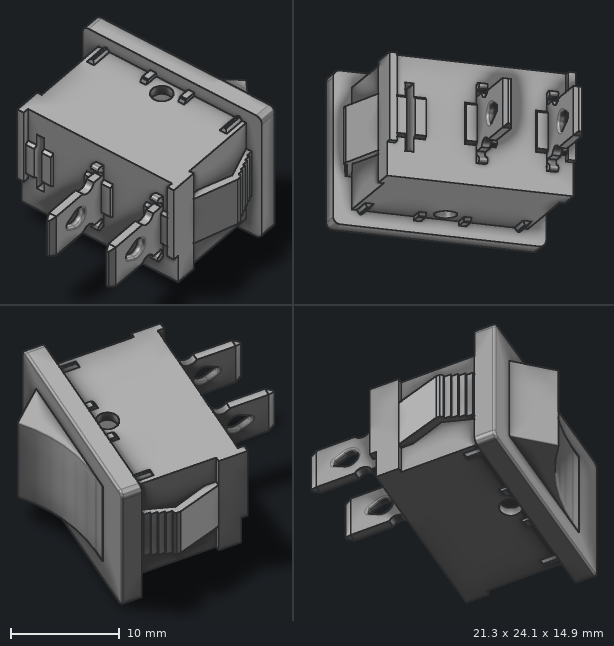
import cadquery as cq
import math


FLANGE_WIDTH = 20.93
FLANGE_HEIGHT = 14.87
FLANGE_DEPTH = 2.1
FLANGE_CORNER_RADIUS = 0.68
FLANGE_EDGE_RADIUS = 0.25

BODY_WIDTH = 17.28
BODY_HEIGHT = 11.78
BASE_WIDTH = 18.3
BASE_START_Y = -8.5
BASE_END_Y = -10.85

LIP_THICKNESS = 0.75
LIP_LENGTH = 0.65
LIP_BOTTOM_Z = -2.63

CLIP_HEIGHT = 5.45
CLIP_REACH_X = 10.67
CLIP_ROOT_X = 9.3
CLIP_STEP_COUNT = 5
CLIP_STEP_RISE = 0.25
CLIP_STEPS_LENGTH = 3.2
CLIP_STEP_LENGTH = CLIP_STEPS_LENGTH / CLIP_STEP_COUNT
CLIP_KNEE_TOP_X = 10.48
CLIP_KNEE_BEVEL_Y = -3.45
CLIP_KNEE_END_Y = -3.86
CLIP_INNER_KNEE = (9.92, -3.7)
CLIP_INNER_FOOT_Y = -7.31

RIB_HEIGHT = 0.4
RIB_BEVEL_DROP = 0.085
RIB_BEVEL_RUN = 0.15
RIB_END_RUN = 0.25
CORNER_RIB_X = 7.75
CORNER_RIB_WIDTH = 0.82
CORNER_RIB_LENGTH = 2.32
MIDDLE_RIB_X = 2.22
MIDDLE_RIB_WIDTH = 0.7
MIDDLE_RIB_LENGTH = 1.52

PIVOT_DIAMETER = 2.17
PIVOT_DEPTH = 1.01
PIVOT_Y = -1.57

TERMINAL_PITCH = 6.95
SLOT_XS = [-TERMINAL_PITCH, 0, TERMINAL_PITCH]
TERMINAL_XS = SLOT_XS[1:]
SLOT_HEIGHT = 6.61
SLOT_DEPTH = 1.93

PAD_WIDTH = 3.05
PAD_BASE_HEIGHT = 4.03
PAD_TOP_HEIGHT = 3.52
PAD_RISE = 0.36

TERMINAL_THICKNESS = 0.85
SHOULDER_HALF_HEIGHT = 2.63
SHOULDER_END_Y = -12.29
HOOK_FOOT_HALF_HEIGHT = 3.75
HOOK_HALF_HEIGHT = 3.86
HOOK_TIP_HALF_HEIGHT = 3.62
HOOK_FRONT_HALF_HEIGHT = 3.33
HOOK_RISE = 0.82
HOOK_FRONT_RISE = 0.7
HOOK_BACK_RISE = 0.5
NOTCH_MOUTH_HALF_HEIGHT = 3.1
NOTCH_MOUTH_RISE = 0.3
NOTCH_FLOOR_HALF_HEIGHT = 2.87
NOTCH_FLOOR_RISE = 0.15
NECK_Y = -13.15
NECK_HALF_HEIGHT = 1.98
BLADE_START_Y = -13.93
BLADE_HALF_HEIGHT = 2.4
TIP_START_Y = -17.9
TIP_END_Y = -18.6
TIP_HALF_HEIGHT = 2.15
TIP_THICKNESS = 0.27

EYE_Y = -14.6
EYE_RADIUS = 0.95
EYE_POINT_Y = -15.88
EYE_POINT_RADIUS = 0.36
EYE_EDGE_RADIUS = 0.25

ROCKER_HEIGHT = 9.85
ROCKER_LEFT_X = -6.6
ROCKER_RIGHT_X = 7.45
ROCKER_LOW_RISE = 0.07
ROCKER_CURVE_START_X = -5.2
ROCKER_CURVE_RADIUS = 14.8
ROCKER_PEAK_X = 4.27
ROCKER_PEAK_RADIUS = 0.17
ROCKER_EDGE_RADIUS = 0.05


def box_between(x_range, y_range, z_range):
    """Box given by its lower and upper limits along each axis."""
    lows, highs = zip(x_range, y_range, z_range)
    sizes = [high - low for low, high in zip(lows, highs)]
    return cq.Workplane("XY").box(*sizes, centered=False).translate(lows)


def centred_box(width, y_range, height):
    """Box centred on the X and Z middle planes."""
    return box_between((-width / 2, width / 2), y_range, (-height / 2, height / 2))


def both_ends(feature):
    """Feature together with its mirror image across X = 0."""
    return feature.union(feature.mirror("YZ"))


def above_and_below(feature):
    """Feature together with its mirror image across Z = 0."""
    return feature.union(feature.mirror("XY"))


def make_flange():
    flange = centred_box(FLANGE_WIDTH, (0, FLANGE_DEPTH), FLANGE_HEIGHT)
    flange = flange.edges("|Y").fillet(FLANGE_CORNER_RADIUS)
    return flange.faces(">Y").edges().fillet(FLANGE_EDGE_RADIUS)


def make_lips():
    outer_x = BASE_WIDTH / 2
    lip = box_between(
        (outer_x - LIP_THICKNESS, outer_x),
        (BASE_END_Y - LIP_LENGTH, BASE_END_Y),
        (LIP_BOTTOM_Z, BODY_HEIGHT / 2),
    )
    return both_ends(lip)


def make_clips():
    """Bent arms with a stepped outer face, joined to the flange and to the base."""
    body_x = BODY_WIDTH / 2
    outline = [(body_x, 0)]
    for step in range(CLIP_STEP_COUNT):
        step_x = CLIP_ROOT_X + step * CLIP_STEP_RISE
        outline.append((step_x, -step * CLIP_STEP_LENGTH))
        outline.append((step_x, -(step + 1) * CLIP_STEP_LENGTH))
    outline += [
        (CLIP_KNEE_TOP_X, -CLIP_STEPS_LENGTH),
        (CLIP_REACH_X, CLIP_KNEE_BEVEL_Y),
        (CLIP_REACH_X, CLIP_KNEE_END_Y),
        (BASE_WIDTH / 2, BASE_START_Y),
        (body_x, BASE_START_Y),
        (body_x, CLIP_INNER_FOOT_Y),
        CLIP_INNER_KNEE,
    ]
    clip = cq.Workplane("XY").polyline(outline).close().extrude(CLIP_HEIGHT / 2, both=True)
    return both_ends(clip)


def rib_envelope(length):
    """Side shape of a rib: flat on top, with a sloping free end whose upper edge is bevelled."""
    wall_z = BODY_HEIGHT / 2
    top_z = wall_z + RIB_HEIGHT
    outline = [
        (0, wall_z),
        (0, top_z),
        (RIB_END_RUN + RIB_BEVEL_RUN - length, top_z),
        (RIB_END_RUN - length, top_z - RIB_BEVEL_DROP),
        (-length, wall_z),
    ]
    return cq.Workplane("YZ").polyline(outline).close().extrude(BODY_WIDTH / 2, both=True)


def make_corner_rib():
    """Sharp crested rib whose sides slope steeply, then gently up to the crest."""
    wall_z = BODY_HEIGHT / 2
    top_z = wall_z + RIB_HEIGHT
    shoulder_z = top_z - RIB_BEVEL_DROP
    section = [
        (CORNER_RIB_X - CORNER_RIB_WIDTH / 2, wall_z),
        (CORNER_RIB_X - RIB_BEVEL_RUN, shoulder_z),
        (CORNER_RIB_X, top_z),
        (CORNER_RIB_X + RIB_BEVEL_RUN, shoulder_z),
        (CORNER_RIB_X + CORNER_RIB_WIDTH / 2, wall_z),
    ]
    bar = cq.Workplane("XZ").polyline(section).close().extrude(CORNER_RIB_LENGTH)
    return bar.intersect(rib_envelope(CORNER_RIB_LENGTH))


def make_middle_rib():
    """Square sided rib."""
    wall_z = BODY_HEIGHT / 2
    bar = box_between(
        (MIDDLE_RIB_X - MIDDLE_RIB_WIDTH / 2, MIDDLE_RIB_X + MIDDLE_RIB_WIDTH / 2),
        (-MIDDLE_RIB_LENGTH, 0),
        (wall_z, wall_z + RIB_HEIGHT),
    )
    return bar.intersect(rib_envelope(MIDDLE_RIB_LENGTH))


def make_ribs():
    return above_and_below(both_ends(make_corner_rib().union(make_middle_rib())))


def make_pivot_holes():
    hole = (
        cq.Workplane("XY", origin=(0, PIVOT_Y, BODY_HEIGHT / 2 - PIVOT_DEPTH))
        .circle(PIVOT_DIAMETER / 2)
        .extrude(PIVOT_DEPTH)
    )
    return above_and_below(hole)


def make_pad(x):
    """Low pad with sloping upper and lower faces."""
    top_y = BASE_END_Y - PAD_RISE
    section = [
        (BASE_END_Y, -PAD_BASE_HEIGHT / 2),
        (top_y, -PAD_TOP_HEIGHT / 2),
        (top_y, PAD_TOP_HEIGHT / 2),
        (BASE_END_Y, PAD_BASE_HEIGHT / 2),
    ]
    pad = cq.Workplane("YZ").polyline(section).close().extrude(PAD_WIDTH / 2, both=True)
    return pad.translate((x, 0, 0))


def make_slot(x):
    """Cutter for a terminal slot, through the pad and into the base."""
    slot = centred_box(
        TERMINAL_THICKNESS, (BASE_END_Y - PAD_RISE, BASE_END_Y + SLOT_DEPTH), SLOT_HEIGHT
    )
    return slot.translate((x, 0, 0))


def make_housing():
    housing = (
        make_flange()
        .union(centred_box(BODY_WIDTH, (BASE_END_Y, 0), BODY_HEIGHT))
        .union(centred_box(BASE_WIDTH, (BASE_END_Y, BASE_START_Y), BODY_HEIGHT))
        .union(make_lips())
        .union(make_clips())
        .union(make_ribs())
        .cut(make_pivot_holes())
    )
    for x in SLOT_XS:
        housing = housing.union(make_pad(x)).cut(make_slot(x))
    return housing


def make_blade():
    """Side shape of a terminal: tang, hooked shoulder, necked blade and tip."""
    tang_y = BASE_END_Y + SLOT_DEPTH
    half = (
        cq.Workplane("YZ")
        .moveTo(tang_y, 0)
        .lineTo(tang_y, SLOT_HEIGHT / 2)
        .lineTo(BASE_END_Y, SLOT_HEIGHT / 2)
        .lineTo(BASE_END_Y, HOOK_FOOT_HALF_HEIGHT)
        .lineTo(BASE_END_Y - HOOK_BACK_RISE, HOOK_HALF_HEIGHT)
        .threePointArc(
            (BASE_END_Y - HOOK_RISE, HOOK_TIP_HALF_HEIGHT),
            (BASE_END_Y - HOOK_FRONT_RISE, HOOK_FRONT_HALF_HEIGHT),
        )
        .lineTo(BASE_END_Y - NOTCH_MOUTH_RISE, NOTCH_MOUTH_HALF_HEIGHT)
        .threePointArc(
            (BASE_END_Y - NOTCH_FLOOR_RISE, NOTCH_FLOOR_HALF_HEIGHT),
            (BASE_END_Y - NOTCH_MOUTH_RISE, SHOULDER_HALF_HEIGHT),
        )
        .lineTo(SHOULDER_END_Y, SHOULDER_HALF_HEIGHT)
        .threePointArc((NECK_Y, NECK_HALF_HEIGHT), (BLADE_START_Y, BLADE_HALF_HEIGHT))
        .lineTo(TIP_START_Y, BLADE_HALF_HEIGHT)
        .lineTo(TIP_END_Y, TIP_HALF_HEIGHT)
        .lineTo(TIP_END_Y, 0)
        .close()
        .extrude(TERMINAL_THICKNESS / 2, both=True)
    )
    return above_and_below(half)


def make_tip_envelope():
    """Plan shape of a terminal: straight sides that taper at the tip."""
    tang_y = BASE_END_Y + SLOT_DEPTH
    side = TERMINAL_THICKNESS / 2
    tip = TIP_THICKNESS / 2
    outline = [
        (-side, tang_y),
        (-side, TIP_START_Y),
        (-tip, TIP_END_Y),
        (tip, TIP_END_Y),
        (side, TIP_START_Y),
        (side, tang_y),
    ]
    return cq.Workplane("XY").polyline(outline).close().extrude(BODY_HEIGHT / 2, both=True)


def make_eye():
    """Cutter for the teardrop eye: two circles joined by their common tangents."""
    spacing = EYE_Y - EYE_POINT_Y
    sine = (EYE_RADIUS - EYE_POINT_RADIUS) / spacing
    cosine = math.sqrt(1 - sine**2)
    wide_y = EYE_Y - EYE_RADIUS * sine
    wide_z = EYE_RADIUS * cosine
    point_y = EYE_POINT_Y - EYE_POINT_RADIUS * sine
    point_z = EYE_POINT_RADIUS * cosine
    return (
        cq.Workplane("YZ")
        .moveTo(wide_y, wide_z)
        .threePointArc((EYE_Y + EYE_RADIUS, 0), (wide_y, -wide_z))
        .lineTo(point_y, -point_z)
        .threePointArc((EYE_POINT_Y - EYE_POINT_RADIUS, 0), (point_y, point_z))
        .close()
        .extrude(TERMINAL_THICKNESS / 2, both=True)
    )


def make_terminal(x):
    eye_zone = cq.selectors.BoxSelector(
        (-TERMINAL_THICKNESS, EYE_POINT_Y - 2 * EYE_POINT_RADIUS, -BLADE_HALF_HEIGHT / 2),
        (TERMINAL_THICKNESS, EYE_Y + 2 * EYE_POINT_RADIUS + EYE_RADIUS, BLADE_HALF_HEIGHT / 2),
        boundingbox=True,
    )
    terminal = make_blade().intersect(make_tip_envelope()).cut(make_eye())
    terminal = terminal.faces("|X").edges(eye_zone).fillet(EYE_EDGE_RADIUS)
    return terminal.translate((x, 0, 0))


def make_rocker():
    """Pressed rocker resting on the flange, with a concave face that rises to a rounded peak."""
    low_y = FLANGE_DEPTH + ROCKER_LOW_RISE

    def curve_point(x):
        run = x - ROCKER_CURVE_START_X
        return (x, low_y + ROCKER_CURVE_RADIUS - math.sqrt(ROCKER_CURVE_RADIUS**2 - run**2))

    middle_x = (ROCKER_CURVE_START_X + ROCKER_PEAK_X) / 2
    rocker = (
        cq.Workplane("XY")
        .moveTo(ROCKER_LEFT_X, FLANGE_DEPTH)
        .lineTo(ROCKER_LEFT_X, low_y)
        .lineTo(ROCKER_CURVE_START_X, low_y)
        .threePointArc(curve_point(middle_x), curve_point(ROCKER_PEAK_X))
        .lineTo(ROCKER_RIGHT_X, FLANGE_DEPTH)
        .close()
        .extrude(ROCKER_HEIGHT / 2, both=True)
    )
    rocker = rocker.edges("|Z and >Y").fillet(ROCKER_PEAK_RADIUS)
    return rocker.faces("|Z").edges("not <Y").edges("not <X").fillet(ROCKER_EDGE_RADIUS)


housing = make_housing()
rocker = make_rocker()
terminals = [make_terminal(x) for x in TERMINAL_XS]

result = cq.Compound.makeCompound(
    [housing.val(), rocker.val()] + [terminal.val() for terminal in terminals]
)